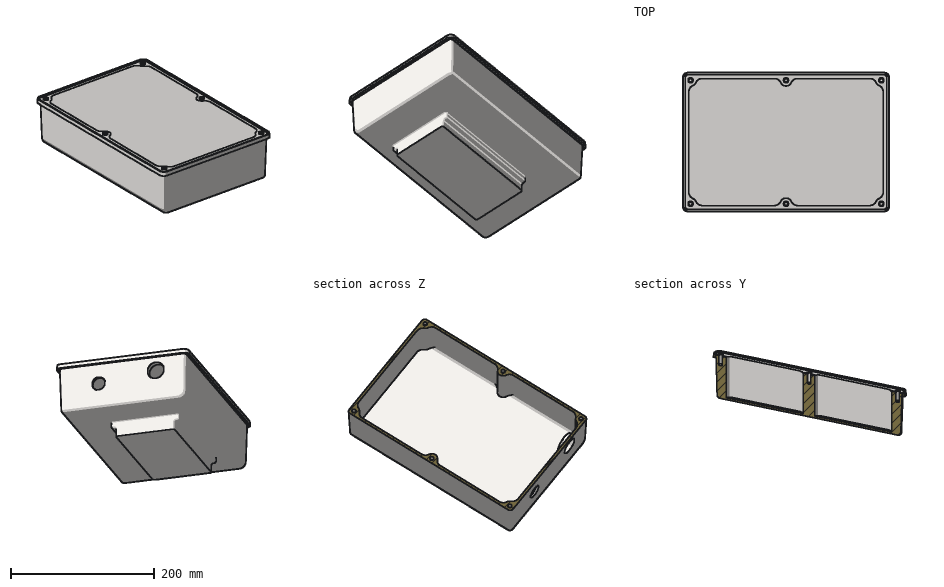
import cadquery as cq
import math

total_height = 93.6
lid_height = 6.0
lid_plate = 1.0
floor_underside = 22.7
foot_neck_height = 13.2
lid_underside = total_height - lid_height
rim_height = total_height - lid_plate

lid_length = 288.02
lid_width = 194.02
lid_draft = 5.0
lid_corner_radius = 7.5
skirt_thickness = 3.2

flange_length = lid_length - 2 * skirt_thickness
flange_width = lid_width - 2 * skirt_thickness
flange_corner_radius = lid_corner_radius - skirt_thickness
lid_overhang = 3.95
body_length = lid_length - 2 * lid_overhang
body_width = lid_width - 2 * lid_overhang
body_depth = lid_underside - floor_underside
body_draft = 1.5
edge_radius = 5.0
front_floor_edge_radius = 10.0

wall = 4.5
floor_thickness = 4.0
floor_height = floor_underside + floor_thickness

screw_spacing_x = 133.0
screw_spacing_y = 172.2
screw_hole_diameter = 7.0
screw_bore_diameter = 5.0
screw_bore_depth = 15.0
drill_tip_angle = 118.0
boss_diameter = 16.0
boss_root_radius = 10.0

small_hole_y = 35.0
small_hole_drop = 34.6
small_hole_diameter = 19.0
large_hole_y = -49.0
large_hole_drop = 25.6
large_hole_diameter = 24.0
collar_thickness = 4.0
collar_reach = 9.5

foot_length = 168.5
foot_width = 100.0
foot_neck_width = 86.0
foot_y = -15.0
foot_edge_radius = 3.0
foot_root_radius = 2.5


def block(length, width, bottom, top):
    """Box centred on the Z axis between two heights."""
    return (
        cq.Workplane("XY")
        .workplane(offset=bottom)
        .rect(length, width)
        .extrude(top - bottom)
    )


def at_screws(bottom):
    """Workplane at a height, with a point on every screw axis."""
    return cq.Workplane("XY").workplane(offset=bottom).rarray(screw_spacing_x, screw_spacing_y, 3, 2)


def edges_in_box(length, width, center_y, height):
    """Selector for edges at one height, centred inside a rectangle or on its outline."""
    margin = 0.1
    reach_x = length / 2 + margin
    reach_y = width / 2 + margin
    return cq.selectors.BoxSelector(
        (-reach_x, center_y - reach_y, height - margin),
        (reach_x, center_y + reach_y, height + margin),
    )


def end_cylinder(y, drop, diameter, start_x, end_x):
    """Cylinder along X, for a cable hole or its collar."""
    return (
        cq.Workplane("YZ")
        .workplane(offset=start_x)
        .center(y, total_height - drop)
        .circle(diameter / 2)
        .extrude(end_x - start_x)
    )


def make_flange():
    flange = block(flange_length, flange_width, lid_underside, rim_height)
    return flange.edges("|Z").fillet(flange_corner_radius)


def make_lid():
    lid = (
        cq.Workplane("XY")
        .workplane(offset=lid_underside)
        .rect(lid_length, lid_width)
        .extrude(lid_height, taper=lid_draft)
    )
    lid = lid.edges("not(|X or |Y)").fillet(lid_corner_radius)
    holes = at_screws(lid_underside).circle(screw_hole_diameter / 2).extrude(lid_height)
    return lid.cut(make_flange()).cut(holes)


def make_body():
    """Solid outer form of the drafted walls, with its rounded floor edges."""
    body = (
        cq.Workplane("XY")
        .workplane(offset=lid_underside)
        .rect(body_length, body_width)
        .extrude(-body_depth, taper=body_draft)
    )
    body = body.faces("<Z").edges("<Y").fillet(front_floor_edge_radius)
    back_edge = body.faces("<Z").edges(">Y").vals()
    end_edges = body.faces("<X or >X").edges("not >Z").vals()
    return body.newObject(back_edge + end_edges).fillet(edge_radius)


def make_foot():
    """Foot with a wide upper slab and a narrow neck, all ending at the floor's underside."""
    neck = block(foot_length, foot_neck_width, 0, floor_underside)
    slab = block(foot_length, foot_width, foot_neck_height, floor_underside)
    foot = neck.union(slab)
    step = edges_in_box(foot_length, foot_width, 0, foot_neck_height)
    foot = foot.edges("|X").edges(step).fillet(foot_edge_radius)
    side_edges = foot.faces("<X or >X").edges("not(<Z or >Z)")
    return side_edges.fillet(foot_edge_radius).translate((0, foot_y, 0))


def make_cavity():
    """Inside space, less the screw bosses and the collar behind the large cable hole."""
    space = block(body_length - 2 * wall, body_width - 2 * wall, floor_height, rim_height)
    bosses = at_screws(floor_height).circle(boss_diameter / 2).extrude(rim_height - floor_height)
    cavity = space.cut(bosses)
    roots = cavity.faces("<X or >X or <Y or >Y").edges("|Z")
    cavity = roots.fillet(boss_root_radius)
    rounded_space = space.faces("<Z").edges("<Y").fillet(front_floor_edge_radius - wall)
    cavity = cavity.intersect(rounded_space)
    collar = end_cylinder(
        large_hole_y,
        large_hole_drop,
        large_hole_diameter + 2 * collar_thickness,
        -body_length / 2,
        -body_length / 2 + collar_reach,
    )
    return cavity.cut(collar)


def make_screw_bores():
    radius = screw_bore_diameter / 2
    tip_depth = radius / math.tan(math.radians(drill_tip_angle / 2))
    drill = (
        cq.Workplane("XZ")
        .lineTo(radius, 0)
        .lineTo(radius, -screw_bore_depth)
        .lineTo(0, -screw_bore_depth - tip_depth)
        .close()
        .revolve(360, (0, 0), (0, 1))
        .val()
    )
    return at_screws(rim_height).eachpoint(drill)


def make_housing():
    housing = make_body().union(make_foot())
    foot_outline = edges_in_box(foot_length, foot_width, foot_y, floor_underside)
    housing = housing.edges(foot_outline).fillet(foot_root_radius)
    housing = housing.union(make_flange())
    housing = housing.cut(make_cavity()).cut(make_screw_bores())
    hole_end_x = -body_length / 2 + collar_reach + wall
    for y, drop, diameter in (
        (small_hole_y, small_hole_drop, small_hole_diameter),
        (large_hole_y, large_hole_drop, large_hole_diameter),
    ):
        hole = end_cylinder(y, drop, diameter, -lid_length / 2, hole_end_x)
        housing = housing.cut(hole)
    return housing


housing = make_housing()
lid = make_lid()
result = cq.Compound.makeCompound([housing.solids().val(), lid.solids().val()])